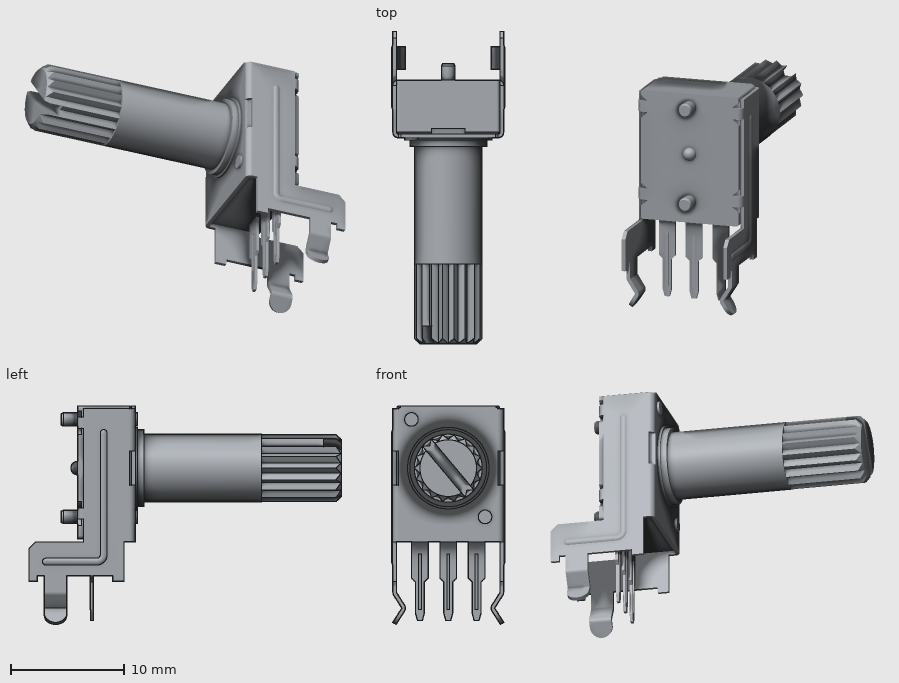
import cadquery as cq
import math


sheet = 0.35
bracket_half_width = 4.9
bracket_inner_x = bracket_half_width - sheet
bend_radius = 0.5
bend_inner_radius = bend_radius - sheet
top_z = 5.5
front_bottom_z = -6.5
corner_chamfer = 0.25
bend_top_z = top_z - corner_chamfer
bend_start_x = bracket_half_width - bend_radius
bend_slot_length = 3.0
side_back_y = 4.6

leg_front_y = 1.0
leg_back_y = 9.4
leg_edge_z = -9.5
foot_z = -10.0
front_foot_width = 1.0
back_foot_width = 0.75
leg_corner_chamfer = 0.6

snap_front_y = 6.05
snap_width = 2.0
snap_bend_z = -11.1
snap_leg_drop = 1.255
snap_lean = math.radians(32.5)
snap_tip_radius = 0.98

rib_width = 0.6
rib_height = 0.1
rib_round = ((rib_width / 2) ** 2 + rib_height**2) / (2 * rib_height)
rib_axis_x = bracket_half_width + rib_height - rib_round
rib_y = 2.8
rib_z = -8.25
rib_top_z = 3.1
rib_back_y = 7.9
rib_bend_radius = 0.6

crimp_z = 4.0
crimp_width = 1.0
crimp_back_y = side_back_y + bend_radius
crimp_inner_y = crimp_back_y - sheet
crimp_tip_x = 3.9
notch_outer_width = 2.1

body_back_y = 5.1
body_bottom_z = -6.25
body_round = 0.25
body_front_chamfer = 0.15
top_recess_width = 3.0
top_recess_depth = 0.3
top_recess_back_y = 0.8
collar_diameter = 7.2
rivet_length = 0.2
bushing_diameter = 6.8
bushing_length = 0.75
pin_diameter = 1.2
rivet_x = 3.25
pin_z = 4.3
post_end_y = 6.55
post_chamfer_length = 0.2
post_chamfer_depth = 0.1
dome_radius = 0.6

shaft_radius = 3.0
shaft_end = 18.2
spline_length = 7.05
spline_teeth = 18
spline_root_radius = 2.55
tip_chamfer = 0.5
driver_slot_width = 1.0
driver_slot_depth = 1.6
driver_slot_angle = 50

terminal_pitch = 2.5
terminal_front_y = 3.7
terminal_thickness = 0.25
terminal_wide = 1.5
terminal_narrow = 0.8
terminal_tip_width = 0.45
terminal_shoulder_z = -9.7
terminal_neck_z = -10.05
terminal_taper_z = -12.8
terminal_end_z = -13.45
crease_width = 0.25
crease_depth = 0.07
crease_top_z = -7.6
crease_bottom_z = -12.5


def block(x0, x1, y0, y1, z0, z1):
    """Box between two opposite corners."""
    return cq.Workplane("XY").box(x1 - x0, y1 - y0, z1 - z0, centered=False).translate((x0, y0, z0))


def rod(radius, y0, y1, x=0, z=0):
    """Round rod parallel to the Y axis."""
    return cq.Workplane("XZ", origin=(x, y0, z)).circle(radius).extrude(y0 - y1)


def collar_and_rivets(y_end):
    """Collar and two rivet heads, from the front face of the body forward to y_end."""
    shape = rod(collar_diameter / 2, y_end, sheet)
    for side in (-1, 1):
        shape = shape.union(rod(pin_diameter / 2, y_end, sheet, side * rivet_x, -side * pin_z))
    return shape


def front_plate():
    outline = (
        cq.Workplane("XZ")
        .moveTo(-bend_start_x, front_bottom_z)
        .lineTo(bend_start_x, front_bottom_z)
        .lineTo(bend_start_x, bend_top_z)
        .lineTo(bend_start_x - corner_chamfer, top_z)
        .lineTo(corner_chamfer - bend_start_x, top_z)
        .lineTo(-bend_start_x, bend_top_z)
        .close()
    )
    return outline.extrude(-sheet)


def side_bend():
    """Quarter-round bend on the -X side, interrupted by a slot at shaft height."""
    diagonal = math.sqrt(0.5)
    outer_mid = (-bend_start_x - bend_radius * diagonal, bend_radius * (1 - diagonal))
    inner_mid = (-bend_start_x - bend_inner_radius * diagonal, bend_radius - bend_inner_radius * diagonal)
    bend = (
        cq.Workplane("XY", origin=(0, 0, front_bottom_z))
        .moveTo(-bend_start_x, 0)
        .threePointArc(outer_mid, (-bracket_half_width, bend_radius))
        .lineTo(-bracket_inner_x, bend_radius)
        .threePointArc(inner_mid, (-bend_start_x, sheet))
        .close()
        .extrude(bend_top_z - front_bottom_z)
    )
    slot_half = bend_slot_length / 2
    return bend.cut(block(-bracket_half_width, -bend_start_x, 0, bend_radius, -slot_half, slot_half))


def side_plate():
    """Flat side wall on the -X side with its leg and foot pads."""
    outline = [
        (bend_radius, bend_top_z),
        (bend_radius, front_bottom_z),
        (leg_front_y, front_bottom_z),
        (leg_front_y, foot_z),
        (leg_front_y + front_foot_width, foot_z),
        (leg_front_y + front_foot_width, leg_edge_z),
        (leg_back_y - back_foot_width, leg_edge_z),
        (leg_back_y - back_foot_width, foot_z),
        (leg_back_y, foot_z),
        (leg_back_y, front_bottom_z - leg_corner_chamfer),
        (leg_back_y - leg_corner_chamfer, front_bottom_z),
        (side_back_y, front_bottom_z),
        (side_back_y, bend_top_z),
    ]
    return cq.Workplane("YZ", origin=(-bracket_half_width, 0, 0)).polyline(outline).close().extrude(sheet)


def snap_tab():
    """Tab below the leg, bent inward and out again, with a rounded tip."""
    lean_shift = snap_leg_drop * math.tan(snap_lean)
    knee_z = snap_bend_z - snap_leg_drop
    end_z = knee_z - snap_leg_drop
    outer_bend = (-bracket_half_width, snap_bend_z)
    outer_knee = (-bracket_half_width + lean_shift, knee_z)
    inner_knee = (outer_knee[0] + sheet / math.cos(snap_lean), knee_z)
    inner_bend = (-bracket_inner_x, snap_bend_z + sheet * math.tan(snap_lean / 2))
    outer_end = (-bracket_half_width, end_z)
    inner_end = (outer_end[0] + sheet * math.cos(snap_lean), end_z - sheet * math.sin(snap_lean))
    strip = (
        cq.Workplane("XZ", origin=(0, snap_front_y, 0))
        .moveTo(-bracket_half_width, leg_edge_z)
        .polyline([outer_bend, outer_knee, outer_end, inner_end, inner_knee, inner_bend], includeCurrent=True)
        .lineTo(-bracket_inner_x, leg_edge_z)
        .close()
        .extrude(-snap_width)
    )
    strip = strip.faces("<Z").edges("not |Y").fillet(snap_tip_radius)
    rounded_corners = [
        (outer_bend, bend_radius),
        (inner_bend, bend_inner_radius),
        (inner_knee, bend_radius),
    ]
    for (x, z), radius in rounded_corners:
        corner = cq.selectors.NearestToPointSelector((x, snap_front_y, z))
        strip = strip.edges("|Y").edges(corner).fillet(radius)
    return strip


def stiffening_rib():
    """Shallow L-shaped rib with a rounded crest on the outer face of the -X side."""
    bend_center_y = rib_y + rib_bend_radius
    bend_center_z = rib_z + rib_bend_radius
    diagonal = rib_bend_radius * math.sqrt(0.5)
    path = (
        cq.Workplane("YZ", origin=(-rib_axis_x, 0, 0))
        .moveTo(rib_y, rib_top_z)
        .lineTo(rib_y, bend_center_z)
        .threePointArc((bend_center_y - diagonal, bend_center_z - diagonal), (bend_center_y, rib_z))
        .lineTo(rib_back_y, rib_z)
    )
    bar = cq.Workplane("XY", origin=(-rib_axis_x, rib_y, rib_top_z)).circle(rib_round).sweep(path)
    for y, z in ((rib_y, rib_top_z), (rib_back_y, rib_z)):
        bar = bar.union(cq.Workplane("XY").sphere(rib_round).translate((-rib_axis_x, y, z)))
    crest = block(
        -bracket_half_width - rib_height,
        -bracket_half_width + sheet / 2,
        0,
        leg_back_y,
        foot_z,
        top_z,
    )
    return bar.intersect(crest)


def crimp_tab(z):
    """Tab on the -X side that folds inward behind the body."""
    z0 = z - crimp_width / 2
    z1 = z + crimp_width / 2
    root_y = side_back_y - sheet
    wall = block(-bracket_half_width, -bracket_inner_x, root_y, crimp_back_y, z0, z1)
    flap = block(-bracket_half_width, -crimp_tip_x, crimp_inner_y, crimp_back_y, z0, z1)
    return wall.union(flap).edges("<X and >Y").fillet(bend_radius)


def make_bracket():
    side = side_bend().union(side_plate()).union(snap_tab()).union(stiffening_rib())
    for z in (-crimp_z, crimp_z):
        side = side.union(crimp_tab(z))
    shape = front_plate().union(side).union(side.mirror("YZ"))
    return shape.cut(collar_and_rivets(0))


def crimp_notch(z):
    """Notch with sloping ends in the back edge on the -X side, where a crimped tab lies."""
    inner_half = crimp_width / 2
    outer_half = notch_outer_width / 2
    outline = [
        (-bracket_inner_x, z - outer_half),
        (-crimp_tip_x, z - inner_half),
        (-crimp_tip_x, z + inner_half),
        (-bracket_inner_x, z + outer_half),
    ]
    plane = cq.Workplane("XZ", origin=(0, crimp_inner_y, 0))
    return plane.polyline(outline).close().extrude(crimp_inner_y - body_back_y)


def locating_post(z):
    post = rod(pin_diameter / 2, body_back_y, post_end_y, z=z)
    return post.faces(">Y").chamfer(post_chamfer_length, post_chamfer_depth)


def make_body():
    shape = block(-bracket_inner_x, bracket_inner_x, sheet, body_back_y, body_bottom_z, top_z)
    shape = shape.edges("|Y").fillet(body_round)
    shape = shape.faces("<Y").chamfer(body_front_chamfer)
    recess_half = top_recess_width / 2
    recess = block(-recess_half, recess_half, sheet, top_recess_back_y, top_z - top_recess_depth, top_z)
    shape = shape.cut(recess)
    for z in (-crimp_z, crimp_z):
        notch = crimp_notch(z)
        shape = shape.cut(notch).cut(notch.mirror("YZ"))
    for z in (-pin_z, pin_z):
        shape = shape.union(locating_post(z))
    dome = cq.Workplane("XY").sphere(dome_radius).translate((0, body_back_y, 0))
    bushing = rod(bushing_diameter / 2, -bushing_length, sheet)
    return shape.union(dome).union(bushing).union(collar_and_rivets(-rivet_length))


def splined_end():
    """Star-shaped end of the shaft with sharp teeth and a chamfered tip."""
    tooth_angle = 2 * math.pi / spline_teeth
    points = []
    for tooth in range(spline_teeth):
        tip = tooth * tooth_angle
        root = tip + tooth_angle / 2
        points.append((shaft_radius * math.cos(tip), shaft_radius * math.sin(tip)))
        points.append((spline_root_radius * math.cos(root), spline_root_radius * math.sin(root)))
    star = cq.Workplane("XZ", origin=(0, -shaft_end, 0)).polyline(points).close().extrude(-spline_length)
    envelope = rod(shaft_radius, -shaft_end, spline_length - shaft_end).faces("<Y").chamfer(tip_chamfer)
    return star.intersect(envelope)


def make_shaft():
    shape = rod(shaft_radius, spline_length - shaft_end, -bushing_length).union(splined_end())
    slot = block(
        -shaft_radius,
        shaft_radius,
        -shaft_end,
        driver_slot_depth - shaft_end,
        -driver_slot_width / 2,
        driver_slot_width / 2,
    )
    return shape.cut(slot.rotate((0, 0, 0), (0, 1, 0), driver_slot_angle))


def make_terminal(x):
    """Flat stepped terminal with a crease pressed into its front and raised on its back."""
    right_edge = [
        (terminal_wide / 2, body_bottom_z),
        (terminal_wide / 2, terminal_shoulder_z),
        (terminal_narrow / 2, terminal_neck_z),
        (terminal_narrow / 2, terminal_taper_z),
        (terminal_tip_width / 2, terminal_end_z),
    ]
    left_edge = [(-half, z) for half, z in reversed(right_edge)]
    plane = cq.Workplane("XZ", origin=(0, terminal_front_y, 0))
    blade = plane.polyline(right_edge + left_edge).close().extrude(-terminal_thickness)
    crease = block(
        -crease_width / 2,
        crease_width / 2,
        terminal_front_y,
        terminal_front_y + crease_depth,
        crease_bottom_z,
        crease_top_z,
    )
    blade = blade.cut(crease).union(crease.translate((0, terminal_thickness, 0)))
    return blade.translate((x, 0, 0))


bracket = make_bracket()
body = make_body()
shaft = make_shaft()
terminals = [make_terminal(i * terminal_pitch) for i in (-1, 0, 1)]

result = cq.Compound.makeCompound(
    [bracket.val(), body.val(), shaft.val(), *[terminal.val() for terminal in terminals]]
)